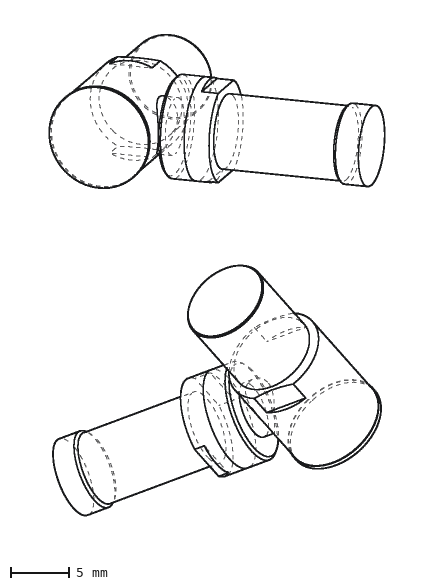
import cadquery as cq


barrel_radius = 4.44
spigot_radius = 3.75
spigot_end_y = 13.7
spigot_end_chamfer = 0.1
shoulder_y = 5.7
shoulder_cone_length = 0.36

cap_radius = 4.5
cap_back_y = -4.9
cap_rim_length = 0.4
dome_height = 0.62
cap_rim_y = cap_back_y - cap_rim_length

neck_radius = 2.5
collar_radius = 4.5
collar_start_x = 5.05
collar_chamfer = 0.25
joint_x = 7.45
collar_end_x = 9.7

tube_radius = 3.25
head_radius = 3.5
head_end_x = 22.88
head_length = 2.33
head_start_x = head_end_x - head_length
head_cone_length = head_radius - tube_radius

flat_height = 4.0
barrel_flat_end_y = 3.2
upper_collar_flat_length = 1.5
lower_collar_flat_length = 0.95


def cylinder_along_x(radius, start_x, end_x):
    return cq.Workplane("YZ").workplane(offset=start_x).circle(radius).extrude(end_x - start_x)


def flat_cutter(min_x, max_x, min_y, max_y, side):
    """Block beyond the flat height, above (side = 1) or below (side = -1) the axis."""
    depth = max(barrel_radius, collar_radius)
    block = cq.Workplane("XY").box(max_x - min_x, max_y - min_y, depth, centered=False)
    bottom_z = flat_height if side > 0 else -flat_height - depth
    return block.translate((min_x, min_y, bottom_z))


def make_barrel():
    profile = (
        cq.Workplane("XY")
        .moveTo(0, spigot_end_y)
        .lineTo(spigot_radius - spigot_end_chamfer, spigot_end_y)
        .lineTo(spigot_radius, spigot_end_y - spigot_end_chamfer)
        .lineTo(spigot_radius, shoulder_y)
        .lineTo(barrel_radius, shoulder_y - shoulder_cone_length)
        .lineTo(barrel_radius, cap_back_y)
        .lineTo(cap_radius, cap_back_y)
        .lineTo(cap_radius, cap_rim_y)
    )
    dome_radius = (cap_radius**2 + dome_height**2) / (2 * dome_height)
    profile = profile.radiusArc((0, cap_rim_y - dome_height), dome_radius).close()
    barrel = profile.revolve(360, (0, 0, 0), (0, 1, 0))
    for side in (1, -1):
        barrel = barrel.cut(
            flat_cutter(-barrel_radius, barrel_radius, barrel_flat_end_y, shoulder_y, side)
        )
    return barrel


def make_elbow():
    """Barrel with its side neck and the near half of the collar."""
    neck = cylinder_along_x(neck_radius, 0, collar_start_x)
    collar = cylinder_along_x(collar_radius, collar_start_x, joint_x)
    collar = collar.faces("<X").chamfer(collar_chamfer)
    return make_barrel().union(neck).union(collar)


def make_stub():
    """Far half of the collar with two flats, the tube and its end head."""
    stub = (
        cq.Workplane("XY")
        .moveTo(joint_x, 0)
        .lineTo(joint_x, collar_radius)
        .lineTo(collar_end_x, collar_radius)
        .lineTo(collar_end_x, tube_radius)
        .lineTo(head_start_x, tube_radius)
        .lineTo(head_start_x + head_cone_length, head_radius)
        .lineTo(head_end_x, head_radius)
        .lineTo(head_end_x, 0)
        .close()
        .revolve(360, (0, 0, 0), (1, 0, 0))
    )
    for side, length in ((1, upper_collar_flat_length), (-1, lower_collar_flat_length)):
        stub = stub.cut(
            flat_cutter(collar_end_x - length, collar_end_x, -collar_radius, collar_radius, side)
        )
    return stub


elbow = make_elbow()
stub = make_stub()

result = cq.Compound.makeCompound([elbow.val(), stub.val()])